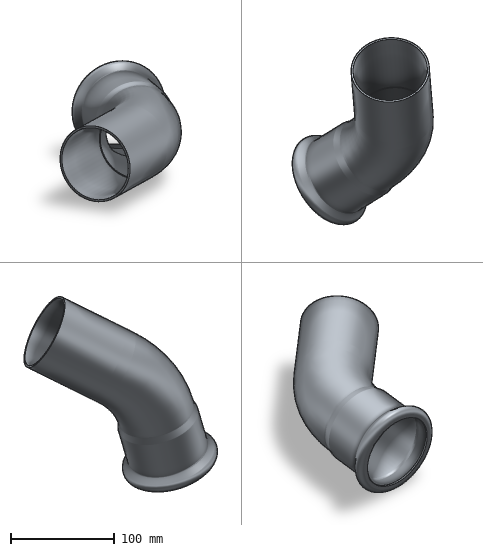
import cadquery as cq
import math


tube_outer_radius = 76.2 / 2
socket_outer_radius = 80.2 / 2
wall = socket_outer_radius - tube_outer_radius
spigot_bore_radius = tube_outer_radius - wall
bend_bore_radius = 70.3 / 2

bead_outer_radius = 47.3
bead_roll_radius = 5.7
bead_flank_angle = math.radians(45)
mouth_radius = tube_outer_radius
flank_blend_radius = 1.7

reducer_start = 55.1
reducer_end = 62.7
reducer_blend_radius = 2.0

bend_start = 64.8
bend_radius = 87.1
bend_angle = 45.0
tail_length = 11.5
spigot_length = 69.2


def bead_profile(inset):
    """Half outline of the bead up to the foot of its flank, offset inward by inset.

    Returns the open outline and the point where the flank meets the socket.
    """
    roll_radius = bead_roll_radius - inset
    roll_centre_x = bead_roll_radius
    roll_centre_r = bead_outer_radius - bead_roll_radius

    half_turn = (math.pi - bead_flank_angle) / 2
    roll_middle = (
        roll_centre_x - roll_radius * math.cos(half_turn),
        roll_centre_r + roll_radius * math.sin(half_turn),
    )
    flank_top_x = roll_centre_x + roll_radius * math.sin(bead_flank_angle)
    flank_top_r = roll_centre_r + roll_radius * math.cos(bead_flank_angle)

    foot_r = socket_outer_radius - inset
    foot_x = flank_top_x + (flank_top_r - foot_r) / math.tan(bead_flank_angle)
    outline = (
        cq.Workplane("XY")
        .moveTo(inset, 0)
        .lineTo(inset, roll_centre_r)
        .threePointArc(roll_middle, (flank_top_x, flank_top_r))
        .lineTo(foot_x, foot_r)
    )
    return outline, (foot_x, foot_r)


def revolve_about_x(outline, end_x):
    """Close a half outline down to the X axis and turn it into a solid."""
    return outline.lineTo(end_x, 0).close().revolve(360, (0, 0, 0), (1, 0, 0))


def blend_ring(body, x, radius, blend_radius):
    """Fillet the circular edge of the given radius at position x."""
    margin = 0.02
    reach = radius + margin
    ring = cq.selectors.BoxSelector(
        (x - margin, -reach, -reach), (x + margin, reach, reach), boundingbox=True
    )
    return body.edges(ring).fillet(blend_radius)


def socket_outside():
    outline, foot = bead_profile(0)
    outline = (
        outline.lineTo(reducer_start, socket_outer_radius)
        .lineTo(reducer_end, tube_outer_radius)
        .lineTo(bend_start, tube_outer_radius)
    )
    body = revolve_about_x(outline, bend_start)
    body = blend_ring(body, *foot, flank_blend_radius)
    body = blend_ring(body, reducer_start, socket_outer_radius, reducer_blend_radius)
    return blend_ring(body, reducer_end, tube_outer_radius, reducer_blend_radius)


def socket_bore():
    outline, foot = bead_profile(wall)
    outline = outline.lineTo(reducer_start, socket_outer_radius - wall)
    body = revolve_about_x(outline, reducer_start)
    body = blend_ring(body, *foot, flank_blend_radius + wall)
    mouth = cq.Workplane("YZ").circle(mouth_radius).extrude(bead_roll_radius)
    stop_hole = (
        cq.Workplane("YZ", origin=(reducer_start, 0, 0))
        .circle(bend_bore_radius)
        .extrude(bend_start - reducer_start)
    )
    return body.union(mouth).union(stop_hole)


def bend_and_spigot(in_bend_radius, in_spigot_radius):
    """Solid round bar along the bend, its straight tail and the spigot."""
    bend = (
        cq.Workplane("YZ", origin=(bend_start, 0, 0))
        .circle(in_bend_radius)
        .revolve(bend_angle, (-bend_radius, 2, 0), (-bend_radius, 0, 0))
    )
    angle = math.radians(bend_angle)
    direction = cq.Vector(math.cos(angle), -math.sin(angle), 0)
    bend_end = cq.Vector(
        bend_start + bend_radius * math.sin(angle),
        -bend_radius * (1 - math.cos(angle)),
        0,
    )
    tail = cq.Solid.makeCylinder(in_spigot_radius, tail_length, bend_end, direction)
    spigot_start = bend_end + direction * tail_length
    spigot = cq.Solid.makeCylinder(in_spigot_radius, spigot_length, spigot_start, direction)
    return bend.union(tail, clean=False).union(spigot, clean=False)


outside = socket_outside().union(
    bend_and_spigot(tube_outer_radius, tube_outer_radius), clean=False
)
bore = socket_bore().union(
    bend_and_spigot(bend_bore_radius, spigot_bore_radius), clean=False
)
result = outside.cut(bore, clean=False)